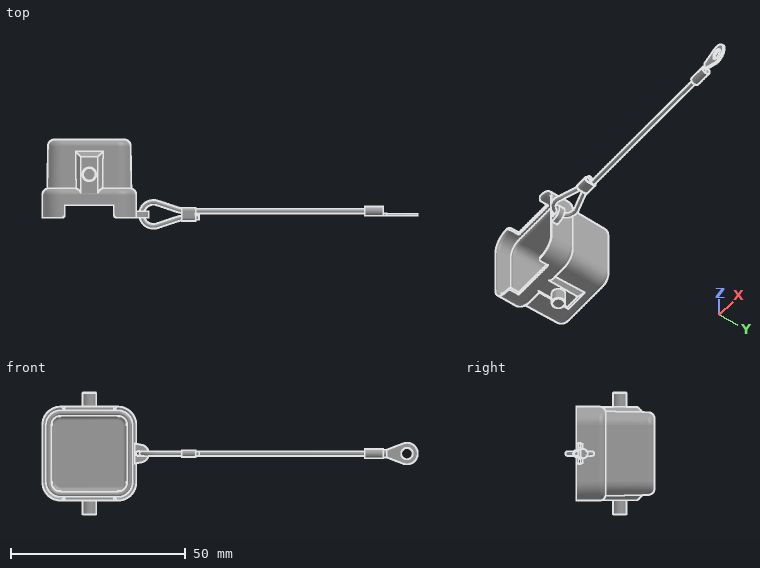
import cadquery as cq
import math

cap_depth = 22.5
rim_width = 27.0
rim_depth = 8.5
rim_corner_radius = 5.4
rim_wall = 1.1
lip_radius = 0.9
edge_radius = 1.9

body_width = 24.3
body_wall = 1.3
back_wall = 1.1
floor_radius = 1.1
draft_angle = 1.0

ledge_y = 5.2
bead_root = 0.3
throat_end_y = 7.5

notch_width = 14.0
notch_depth = 3.5
notch_corner_radius = 1.0

pin_diameter = 4.0
pin_span = 35.0
pin_y = 12.5
pin_chamfer = 0.2
pad_top_width = 4.9
pad_top_y = 17.5
pad_start_y = 6.5
pad_slope = 1.6
pad_drop = 0.1

tab_thickness = 1.9
tab_radius = 2.6
tab_base_width = 5.8
tab_tip_reach = 3.5
tab_hole_diameter = 1.4
tab_hole_offset = 0.6

cord_diameter = 1.4
cord_y = 1.9
tail_y = 0.1
loop_radius = 3.4
loop_x = 18.4
ferrule_x = 26.4
ferrule_length = 4.0
ferrule_thickness = 2.0
tail_stub = 1.0
cord_bend_length = 1.6

overall_length = 107.5
sleeve_x = 78.8
sleeve_length = 5.4
sleeve_diameter = 2.7
neck_diameter = 2.6
neck_length = 1.0
neck_height = 0.8
tongue_thickness = 0.6
tongue_width = 2.3
eye_radius = 3.1
eye_hole_diameter = 3.2

rim_half = rim_width / 2
corner_inset = rim_half - rim_corner_radius
pocket_width = rim_width - 2 * rim_wall
cavity_width = body_width - 2 * body_wall


def plane_at(y):
    """Workplane at height y whose positive extrusion runs towards +Y (local x = -X)."""
    return cq.Workplane(cq.Plane(origin=(0, y, 0), xDir=(-1, 0, 0), normal=(0, 1, 0)))


def rounded_block(width, y_start, y_end, taper=0):
    """Square block along Y with corner arcs concentric with those of the rim."""
    corner_radius = width / 2 - corner_inset
    outline = cq.Sketch().rect(width, width).vertices().fillet(corner_radius)
    return plane_at(y_start).placeSketch(outline).extrude(y_end - y_start, taper=taper)


def rounded_plate(base_x, base_width, centre_x, radius, y_start, thickness):
    """Plate that starts at a straight base and runs tangentially into a round end."""
    reach = centre_x - base_x
    half = base_width / 2
    distance = math.hypot(reach, half)
    tangent_angle = math.atan2(half, -reach) - math.acos(radius / distance)
    tangent_x = centre_x + radius * math.cos(tangent_angle)
    tangent_z = radius * math.sin(tangent_angle)
    return (
        cq.Workplane("XZ", origin=(0, y_start, 0))
        .moveTo(base_x, -half)
        .lineTo(tangent_x, -tangent_z)
        .threePointArc((centre_x + radius, 0), (tangent_x, tangent_z))
        .lineTo(base_x, half)
        .close()
        .extrude(-thickness)
    )


def cylinder_x(x_start, length, diameter, y):
    return cq.Workplane("YZ", origin=(x_start, y, 0)).circle(diameter / 2).extrude(length)


def make_pad():
    """Pad through both Z walls, nearly level with the rim and bevelled down to the body."""
    top_length = pad_top_y - pad_start_y
    top_centre_y = (pad_top_y + pad_start_y) / 2
    pad_face_z = rim_half - pad_drop
    half_pad = (
        cq.Workplane("XY", origin=(0, top_centre_y, pad_face_z - pad_slope))
        .rect(pad_top_width + 2 * pad_slope, top_length + 2 * pad_slope)
        .workplane(offset=pad_slope)
        .rect(pad_top_width, top_length)
        .loft(ruled=True)
    )
    return half_pad.union(half_pad.mirror("XY"))


def make_pins():
    half_pin = (
        cq.Workplane("XY", origin=(0, pin_y, rim_half - pad_slope))
        .circle(pin_diameter / 2)
        .extrude(pin_span / 2 - rim_half + pad_slope)
        .faces(">Z")
        .chamfer(pin_chamfer)
    )
    return half_pin.union(half_pin.mirror("XY"))


def make_bead():
    """Half-round ring that fills the ledge, on a short root sunk into the ledge."""
    radius = (pocket_width - cavity_width) / 4
    ring_half = cavity_width / 2 + radius
    ring_corner = ring_half - corner_inset
    diagonal = corner_inset + ring_corner * math.sqrt(0.5)
    path = plane_at(ledge_y).moveTo(ring_half, 0).lineTo(ring_half, corner_inset)
    path = path.threePointArc((diagonal, diagonal), (corner_inset, ring_half))
    path = path.lineTo(0, ring_half)
    section = (
        cq.Workplane("XY")
        .moveTo(-ring_half - radius, ledge_y + bead_root)
        .lineTo(-ring_half - radius, ledge_y)
        .threePointArc((-ring_half, ledge_y - radius), (-ring_half + radius, ledge_y))
        .lineTo(-ring_half + radius, ledge_y + bead_root)
        .close()
    )
    quarter = section.sweep(path)
    half_ring = quarter.union(quarter.mirror("XY"))
    return half_ring.union(half_ring.mirror("YZ"))


def make_notch():
    """Cutter for the latch notches; its mouth flares into rounded corners."""
    half = notch_width / 2
    radius = notch_corner_radius
    diagonal = radius * (1 - math.sqrt(0.5))
    return (
        cq.Workplane("XY", origin=(0, 0, -rim_half))
        .moveTo(-half - radius, 0)
        .threePointArc((-half - diagonal, diagonal), (-half, radius))
        .lineTo(-half, notch_depth)
        .lineTo(half, notch_depth)
        .lineTo(half, radius)
        .threePointArc((half + diagonal, diagonal), (half + radius, 0))
        .close()
        .extrude(rim_width)
    )


def make_cap():
    rim = rounded_block(rim_width, 0, rim_depth).faces(">Y").edges().fillet(edge_radius)
    body = rounded_block(body_width, ledge_y, cap_depth, draft_angle)
    body = body.faces(">Y").edges().fillet(edge_radius)
    throat = rounded_block(cavity_width, ledge_y, throat_end_y)
    cavity = rounded_block(cavity_width, throat_end_y, cap_depth - back_wall, draft_angle)
    cavity = cavity.faces(">Y").edges().fillet(floor_radius)
    pocket = rounded_block(pocket_width, 0, ledge_y)
    cap = rim.union(body).union(make_pad()).union(make_pins())
    cap = cap.cut(cavity).cut(throat).cut(pocket)
    mouth_edges = cap.faces("<Y").val().innerWires()[0].Edges()
    cap = cap.newObject(mouth_edges).fillet(lip_radius)
    return cap.union(make_bead()).cut(make_notch())


def make_tab():
    base_x = rim_half - rim_wall / 2
    centre_x = rim_half + tab_tip_reach - tab_radius
    tab = rounded_plate(base_x, tab_base_width, centre_x, tab_radius, 0, tab_thickness)
    hole = (
        cq.Workplane("XZ", origin=(rim_half + tab_hole_offset, 0, 0))
        .circle(tab_hole_diameter / 2)
        .extrude(-tab_thickness)
    )
    return tab.cut(hole)


def make_cord():
    """Cord from the tail stub, around the loop and along to the ring terminal."""
    loop_y = (cord_y + tail_y) / 2
    corner_dx = ferrule_x - loop_x
    corner_dy = cord_y - loop_y
    distance = math.hypot(corner_dx, corner_dy)
    slope = math.asin(loop_radius / distance) - math.atan2(corner_dy, corner_dx)
    tangent_x = loop_x + loop_radius * math.sin(slope)
    tangent_dy = loop_radius * math.cos(slope)
    bend_x = ferrule_x - cord_bend_length * math.cos(slope)
    bend_dy = corner_dy + cord_bend_length * math.sin(slope)
    bend_end_x = ferrule_x + cord_bend_length
    tail_end_x = ferrule_x + ferrule_length + tail_stub
    path = (
        cq.Workplane("XY")
        .moveTo(tail_end_x, tail_y)
        .lineTo(bend_end_x, tail_y)
        .tangentArcPoint((bend_x, loop_y - bend_dy), relative=False)
        .lineTo(tangent_x, loop_y - tangent_dy)
        .threePointArc((loop_x - loop_radius, loop_y), (tangent_x, loop_y + tangent_dy))
        .lineTo(bend_x, loop_y + bend_dy)
        .tangentArcPoint((bend_end_x, cord_y), relative=False)
        .lineTo(sleeve_x + sleeve_length / 2, cord_y)
    )
    section = cq.Workplane("YZ", origin=(tail_end_x, tail_y, 0)).circle(cord_diameter / 2)
    return section.sweep(path)


def make_ferrule():
    height = cord_y - tail_y + ferrule_thickness
    return (
        cq.Workplane("YZ", origin=(ferrule_x, (cord_y + tail_y) / 2, 0))
        .slot2D(height, ferrule_thickness)
        .extrude(ferrule_length)
    )


def make_terminal():
    bottom_y = cord_y - sleeve_diameter / 2
    neck_x = sleeve_x + sleeve_length
    tongue_x = neck_x + neck_length
    eye_x = overall_length - rim_half - eye_radius
    sleeve = cylinder_x(sleeve_x, sleeve_length, sleeve_diameter, cord_y)
    neck_stock = cylinder_x(neck_x, neck_length, neck_diameter, cord_y)
    neck_keep = cq.Workplane("XY").box(
        neck_length, neck_height, sleeve_diameter, centered=(False, False, True)
    )
    neck = neck_stock.intersect(neck_keep.translate((neck_x, bottom_y, 0)))
    tongue = rounded_plate(tongue_x, tongue_width, eye_x, eye_radius, bottom_y, tongue_thickness)
    eye_hole = (
        cq.Workplane("XZ", origin=(eye_x, bottom_y, 0))
        .circle(eye_hole_diameter / 2)
        .extrude(-tongue_thickness)
    )
    return sleeve.union(neck).union(tongue.cut(eye_hole))


tether = make_cord().union(make_ferrule()).union(make_terminal())
result = make_cap().union(make_tab()).union(tether)